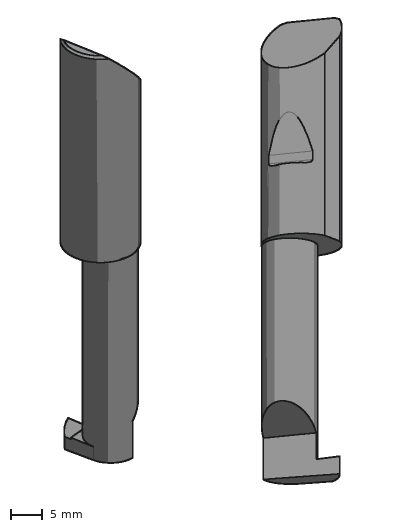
import cadquery as cq
import math

shank_diameter = 12.7
shank_radius = shank_diameter / 2
overall_length = 76.2
shank_bottom = overall_length / 2
end_chamfer = 0.4

neck_diameter = 8.8
neck_radius = neck_diameter / 2
neck_x = shank_radius - neck_radius

bevel_angle = 45.0
bevel_start_y = -4.5
flat_angle = 18.0
notch_depth = 1.15
notch_bottom = 49.7
notch_top = 58.1
notch_wall_height = 2.0
notch_corner_radius = 0.6

head_relief_height = 7.1
tip_height = 2.9
nose_front_x = -3.66
nose_bulge = 0.35
clearance_angle = 2.5
side_clearance_angle = 1.5
tip_relief_end_x = -2.5

block_size = 200.0


def beyond_plane(point, normal):
    """Block filling the side of a plane that its normal points to."""
    plane = cq.Plane(origin=point, normal=normal)
    return cq.Workplane(plane).rect(block_size, block_size).extrude(block_size)


def tip_clearance_normal(z_direction):
    """Outward normal of a tip face falling away toward -Y and +X."""
    return (
        math.tan(math.radians(side_clearance_angle)),
        -math.tan(math.radians(clearance_angle)),
        z_direction,
    )


def make_shank():
    shank = (
        cq.Workplane("XY", origin=(0, 0, shank_bottom))
        .circle(shank_radius)
        .extrude(overall_length - shank_bottom)
        .faces(">Z")
        .chamfer(end_chamfer)
    )
    bevel_slope = math.radians(bevel_angle)
    bevel = beyond_plane(
        (0, bevel_start_y, overall_length),
        (0, math.sin(bevel_slope), math.cos(bevel_slope)),
    )
    flat_slope = math.radians(flat_angle)
    side_flat = beyond_plane(
        (-shank_radius, 0, 0),
        (-math.cos(flat_slope), math.sin(flat_slope), 0),
    )
    return shank.cut(bevel).cut(side_flat).cut(make_notch())


def make_notch():
    """Clamping notch across the +Y side, with a sloped upper flank."""
    floor_y = shank_radius - notch_depth
    corner_offset = notch_corner_radius * (1 - math.sqrt(0.5))
    return (
        cq.Workplane("YZ")
        .moveTo(shank_radius, notch_bottom)
        .lineTo(floor_y + notch_corner_radius, notch_bottom)
        .threePointArc(
            (floor_y + corner_offset, notch_bottom + corner_offset),
            (floor_y, notch_bottom + notch_corner_radius),
        )
        .lineTo(floor_y, notch_bottom + notch_wall_height)
        .lineTo(shank_radius, notch_top)
        .close()
        .extrude(shank_radius, both=True)
    )


def make_neck():
    neck = cq.Workplane("XY").center(neck_x, 0).circle(neck_radius).extrude(shank_bottom)
    relief_top = head_relief_height + neck_radius
    head_relief = (
        cq.Workplane("YZ")
        .polyline([
            (0, 0),
            (0, head_relief_height),
            (neck_radius, relief_top),
            (neck_radius, 0),
        ])
        .close()
        .extrude(shank_radius, both=True)
    )
    return neck.cut(head_relief)


def make_tip():
    """Cutting tip reaching out to -X, with its cutting face at Y = 0."""
    chord_x = nose_front_x + shank_radius
    chord_length = math.hypot(chord_x, neck_radius)
    nose_middle = (
        (nose_front_x - shank_radius) / 2 - nose_bulge * neck_radius / chord_length,
        -neck_radius / 2 - nose_bulge * chord_x / chord_length,
    )
    tip = (
        cq.Workplane("XY")
        .moveTo(-shank_radius, 0)
        .threePointArc(nose_middle, (nose_front_x, -neck_radius))
        .lineTo(neck_x, -neck_radius)
        .lineTo(neck_x, 0)
        .close()
        .extrude(tip_height)
    )
    relief_zone = (
        cq.Workplane("XY")
        .moveTo(-shank_radius, 0)
        .rect(2 * (tip_relief_end_x + shank_radius), block_size)
        .extrude(tip_height)
    )
    upper_clearance = beyond_plane((-shank_radius, 0, tip_height), tip_clearance_normal(1))
    return tip.cut(upper_clearance.intersect(relief_zone))


lower_clearance = beyond_plane((-shank_radius, 0, 0), tip_clearance_normal(-1))
result = make_shank().union(make_neck()).union(make_tip()).cut(lower_clearance)